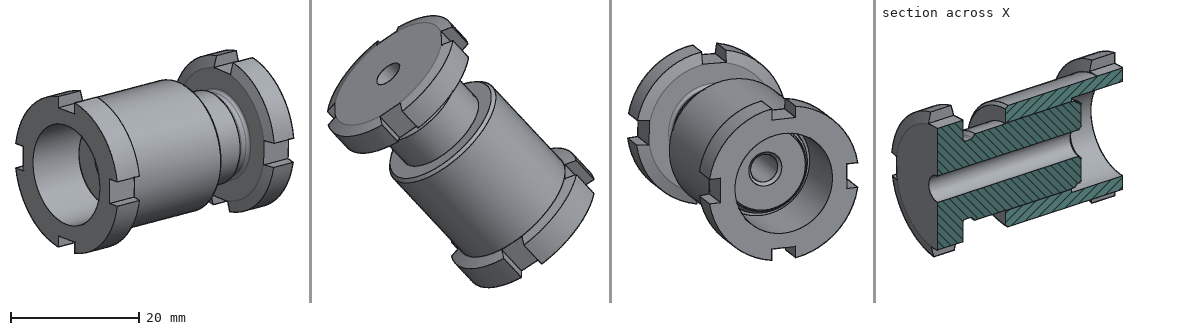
import cadquery as cq
import math

flange_radius = 12.5
flange_thickness = 5.0
rim_chamfer_length = 0.5
rim_chamfer_depth = rim_chamfer_length / math.tan(math.radians(15))
slot_width = 4.0
slot_floor_radius = 10.5
slot_count = 4

sleeve_length = 23.0
sleeve_radius = slot_floor_radius
sleeve_chamfer = 0.5
bore_radius = 8.12
bore_depth = 10.0

overall_length = 36.25
thread_radius = 7.5
tip_start = 8.1
tip_radius = 6.95
tip_chamfer = 0.3
tip_length = 0.73
neck_radius = 6.78
neck_length = 1.65
neck_taper_end = 2.32
neck_head_fillet = 0.5
neck_taper_fillet = 0.4
head_turn_degrees = 1.9
hole_radius = 2.25
hole_chamfer = 0.5

head_start = overall_length - flange_thickness


def revolve_profile(profile):
    """Revolve a closed (radius, y) profile about the Y axis."""
    return profile.close().revolve(360, (0, 0, 0), (0, 1, 0))


def cut_spanner_slots(body, start, turn_degrees=0):
    """Cut equally spaced flat-bottomed slots into a flange rim."""
    slot_depth = flange_radius - slot_floor_radius
    slot_height = 2 * slot_depth
    for index in range(slot_count):
        slot = (
            cq.Workplane("XY")
            .box(slot_width, flange_thickness, slot_height, centered=(True, False, False))
            .translate((0, start, slot_floor_radius))
            .rotate((0, 0, 0), (0, 1, 0), turn_degrees + index * 360 / slot_count)
        )
        body = body.cut(slot)
    return body


def make_sleeve():
    """Flanged sleeve with a counterbore and a through hole for the screw."""
    profile = (
        cq.Workplane("XY")
        .moveTo(bore_radius, 0)
        .lineTo(flange_radius, 0)
        .lineTo(flange_radius, flange_thickness - rim_chamfer_length)
        .lineTo(flange_radius - rim_chamfer_depth, flange_thickness)
        .lineTo(sleeve_radius, flange_thickness)
        .lineTo(sleeve_radius, sleeve_length - sleeve_chamfer)
        .lineTo(sleeve_radius - sleeve_chamfer, sleeve_length)
        .lineTo(thread_radius, sleeve_length)
        .lineTo(thread_radius, bore_depth)
        .lineTo(bore_radius, bore_depth)
    )
    return cut_spanner_slots(revolve_profile(profile), 0)


def make_screw():
    """Hollow screw with a stepped tip, a relieved neck and a slotted head."""
    tip_end = tip_start + tip_length
    thread_start = tip_end + thread_radius - tip_radius
    head_face_radius = flange_radius - rim_chamfer_depth
    neck_bottom = head_start - neck_length
    thread_end = head_start - neck_taper_end
    taper_angle = math.atan2(thread_radius - neck_radius, neck_bottom - thread_end)
    tangent_length = neck_taper_fillet * math.tan(taper_angle / 2)
    fillet_center_radius = neck_radius + neck_taper_fillet
    fillet_center_y = neck_bottom + tangent_length

    def fillet_point(angle):
        return (
            fillet_center_radius - neck_taper_fillet * math.cos(angle),
            fillet_center_y - neck_taper_fillet * math.sin(angle),
        )

    round_offset = neck_head_fillet * (1 - math.sqrt(0.5))
    profile = (
        cq.Workplane("XY")
        .moveTo(hole_radius + hole_chamfer, tip_start)
        .lineTo(tip_radius - tip_chamfer, tip_start)
        .lineTo(tip_radius, tip_start + tip_chamfer)
        .lineTo(tip_radius, tip_end)
        .lineTo(thread_radius, thread_start)
        .lineTo(thread_radius, thread_end)
        .lineTo(*fillet_point(taper_angle))
        .threePointArc(fillet_point(taper_angle / 2), fillet_point(0))
        .lineTo(neck_radius, head_start - neck_head_fillet)
        .threePointArc(
            (neck_radius + round_offset, head_start - round_offset),
            (neck_radius + neck_head_fillet, head_start),
        )
        .lineTo(head_face_radius, head_start)
        .lineTo(flange_radius, head_start + rim_chamfer_length)
        .lineTo(flange_radius, overall_length - rim_chamfer_length)
        .lineTo(head_face_radius, overall_length)
        .lineTo(hole_radius, overall_length)
        .lineTo(hole_radius, tip_start + hole_chamfer)
    )
    return cut_spanner_slots(revolve_profile(profile), head_start, head_turn_degrees)


sleeve = make_sleeve()
screw = make_screw()
result = cq.Compound.makeCompound([sleeve.val(), screw.val()])